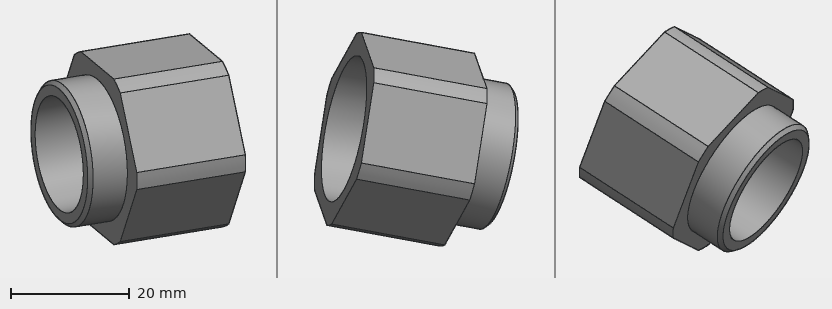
import cadquery as cq
import math

across_flats = 30.0
corner_diameter = 33.0
hex_length = 20.0
collar_diameter = 25.0
collar_length = 7.0
collar_chamfer = 0.7
bore_diameter = 20.0
bore_depth = 13.5
socket_diameter = 25.0

hexagon_sides = 6
across_corners = across_flats / math.cos(math.pi / hexagon_sides)
total_length = hex_length + collar_length
socket_depth = total_length - bore_depth


def cylinder(diameter, length):
    """Cylinder from the back face (Y = 0) toward the collar end (-Y)."""
    return cq.Workplane("XZ").circle(diameter / 2).extrude(length)


def hex_body():
    """Hexagonal prism with flats at top and bottom and rounded corners."""
    prism = cq.Workplane("XZ").polygon(hexagon_sides, across_corners).extrude(hex_length)
    return prism.intersect(cylinder(corner_diameter, hex_length))


def collar():
    """Round collar with a chamfered front rim, running back through the hexagon."""
    return cylinder(collar_diameter, total_length).faces("<Y").edges().chamfer(collar_chamfer)


def stepped_bore():
    """Through bore that widens into the socket at the back end."""
    return cylinder(bore_diameter, total_length).union(cylinder(socket_diameter, socket_depth))


result = hex_body().union(collar()).cut(stepped_bore())